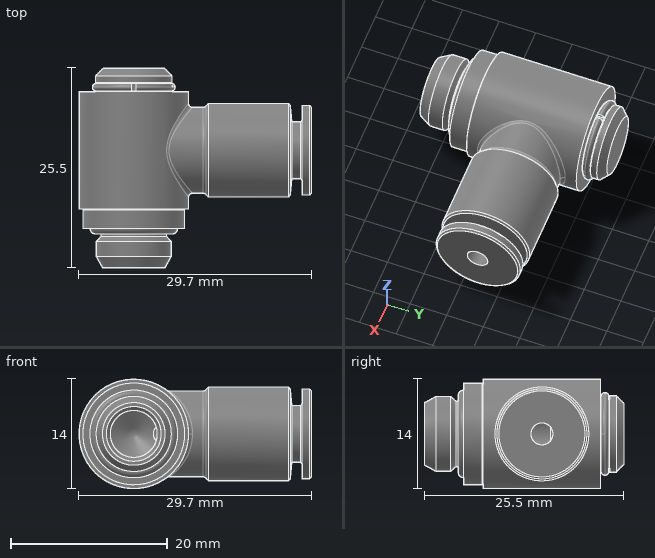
import cadquery as cq
import math


body_radius = 7.0
body_half_length = 7.5
arm_root_fillet = 0.5

plug_radius = 4.9
plug_end = 10.5
plug_chamfer = 1.0
groove_floor_radius = 4.4
groove_start = 7.6
groove_end = 8.65
clip_wire_radius = 0.5
clip_outer_radius = 5.3
clip_center_y = 8.05
clip_gap_width = 0.55

collar_radius = 6.5
collar_chamfer = 0.15
collar_end = -10.0
neck_radius = 4.2
neck_end = -11.0
nose_radius = 4.8
nose_full_start = -11.65
nose_taper_start = -13.55
nose_tip_radius = 4.0
nose_end = -15.0
seal_wire_radius = 0.7
seal_outer_radius = 5.6

bore_radius = 3.0
bore_mouth_chamfer = 0.5
bore_depth_end = 1.1
drill_point_angle = 118.0
cross_bore_radius = 1.4

arm_neck_radius = 5.5
sleeve_radius = 6.0
sleeve_start = 9.55
sleeve_end = 20.0
sleeve_end_chamfer = 0.25
shoulder_angle = 45.0
shoulder_fillet = 0.5
sleeve_end_bulge = 0.2

release_neck_radius = 3.65
release_flare = 0.2
release_flange_radius = 5.75
release_flange_start = 21.5
release_flange_chamfer = 0.25
arm_end = 22.7


def revolve_about_y(profile):
    return profile.close().revolve(360, (0, 0, 0), (0, 1, 0))


def torus_about_y(center_radius, wire_radius, center_y):
    wire = cq.Workplane("XY").center(center_radius, center_y).circle(wire_radius)
    return wire.revolve(360, (-center_radius, 0, 0), (-center_radius, 1, 0))


def make_body():
    """Plain banjo cylinder with its ends square to Y."""
    return cq.Workplane("XZ").circle(body_radius).extrude(body_half_length, both=True)


def make_arm_neck():
    """Round neck from the body axis to the foot of the sleeve shoulder."""
    neck_end_x = shoulder_fillet_points()[0][0]
    return cq.Workplane("YZ").circle(arm_neck_radius).extrude(neck_end_x)


def shoulder_fillet_points():
    """Start, middle and end of the fillet between the neck and the sloping shoulder."""
    turn = math.radians(shoulder_angle)
    corner_x = sleeve_start - (sleeve_radius - arm_neck_radius) / math.tan(turn)
    start_x = corner_x - shoulder_fillet * math.tan(turn / 2)

    def point_at(angle):
        x = start_x + shoulder_fillet * math.sin(angle)
        radius = arm_neck_radius + shoulder_fillet * (1 - math.cos(angle))
        return x, radius

    return [point_at(0), point_at(turn / 2), point_at(turn)]


def make_sleeve_and_release_ring():
    """Shouldered sleeve and the release ring standing out of its end."""
    fillet_start, fillet_middle, fillet_end = shoulder_fillet_points()
    profile = (
        cq.Workplane("XY")
        .moveTo(fillet_start[0], 0)
        .lineTo(*fillet_start)
        .threePointArc(fillet_middle, fillet_end)
        .lineTo(sleeve_start, sleeve_radius)
        .lineTo(sleeve_end - sleeve_end_chamfer, sleeve_radius)
        .lineTo(sleeve_end, sleeve_radius - sleeve_end_chamfer)
        .lineTo(sleeve_end + sleeve_end_bulge, release_neck_radius)
        .lineTo(release_flange_start - release_flare, release_neck_radius)
        .lineTo(release_flange_start, release_neck_radius + release_flare)
        .lineTo(release_flange_start, release_flange_radius)
        .lineTo(arm_end - release_flange_chamfer, release_flange_radius)
        .lineTo(arm_end, release_flange_radius - release_flange_chamfer)
        .lineTo(arm_end, 0)
        .close()
    )
    return profile.revolve(360, (0, 0, 0), (1, 0, 0))


def make_plug():
    """Rear end of the stem with the clip groove."""
    profile = (
        cq.Workplane("XY")
        .moveTo(0, 0)
        .lineTo(plug_radius, 0)
        .lineTo(plug_radius, groove_start)
        .lineTo(groove_floor_radius, groove_start)
        .lineTo(groove_floor_radius, groove_end)
        .lineTo(plug_radius, groove_end)
        .lineTo(plug_radius, plug_end - plug_chamfer)
        .lineTo(plug_radius - plug_chamfer, plug_end)
        .lineTo(0, plug_end)
    )
    return revolve_about_y(profile)


def make_clip():
    """Round-wire clip, notched to mid-wire at its +Z point."""
    center_radius = clip_outer_radius - clip_wire_radius
    clip = torus_about_y(center_radius, clip_wire_radius, clip_center_y)
    cutter_length = 3 * clip_wire_radius
    cutter_height = 2 * clip_wire_radius
    notch = (
        cq.Workplane("XY")
        .box(clip_gap_width, cutter_length, cutter_height, centered=(True, True, False))
        .translate((0, clip_center_y, center_radius))
    )
    return clip.cut(notch)


def make_nose():
    """Collar, neck and tapered nose at the front end of the stem."""
    profile = (
        cq.Workplane("XY")
        .moveTo(0, -body_half_length)
        .lineTo(collar_radius - collar_chamfer, -body_half_length)
        .lineTo(collar_radius, -body_half_length - collar_chamfer)
        .lineTo(collar_radius, collar_end)
        .lineTo(neck_radius, collar_end)
        .lineTo(neck_radius, neck_end)
        .lineTo(nose_radius, nose_full_start)
        .lineTo(nose_radius, nose_taper_start)
        .lineTo(nose_tip_radius, nose_end)
        .lineTo(0, nose_end)
    )
    return revolve_about_y(profile)


def make_seal():
    """Seal ring half sunk in the front face of the collar."""
    return torus_about_y(seal_outer_radius - seal_wire_radius, seal_wire_radius, collar_end)


def make_stem_bore():
    """Blind bore from the nose tip with a countersunk mouth and a drill point."""
    drill_point_length = bore_radius / math.tan(math.radians(drill_point_angle / 2))
    profile = (
        cq.Workplane("XY")
        .moveTo(0, nose_end)
        .lineTo(bore_radius + bore_mouth_chamfer, nose_end)
        .lineTo(bore_radius, nose_end + bore_mouth_chamfer)
        .lineTo(bore_radius, bore_depth_end)
        .lineTo(0, bore_depth_end + drill_point_length)
    )
    return revolve_about_y(profile)


def make_cross_bore():
    """Bore from the stem axis through the arm's tip."""
    return cq.Workplane("YZ").circle(cross_bore_radius).extrude(arm_end)


def fillet_arm_root(shape):
    """Round the seam where the arm neck meets the body."""
    seam = cq.selectors.BoxSelector(
        (0, -body_radius, -body_radius),
        (body_radius + arm_root_fillet, body_radius, body_radius),
        boundingbox=True,
    )
    return shape.edges(seam).fillet(arm_root_fillet)


result = fillet_arm_root(make_body().union(make_arm_neck()))
for piece in (make_sleeve_and_release_ring(), make_plug(), make_clip(), make_nose(), make_seal()):
    result = result.union(piece)
result = result.cut(make_stem_bore()).cut(make_cross_bore())